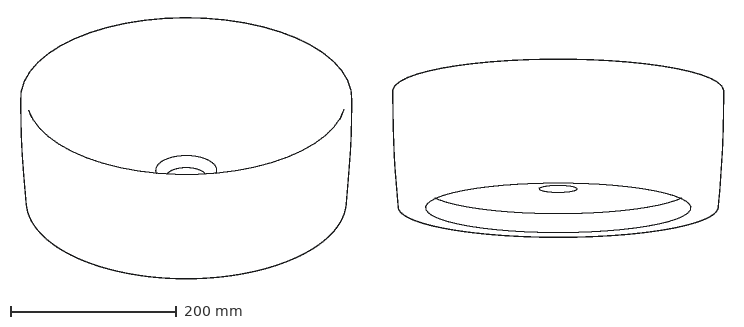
import cadquery as cq
import math

height = 145.0
outer_radius = 200.0

foot_radius = 193.0
rim_round = 2.8
foot_round = 2.0

rim_thickness = 7.5
wall_angle = math.radians(17.8)
floor_angle = math.radians(5.8)
bowl_corner_radius = 40.0

drain_ring_radius = 42.0
drain_ring_height = 44.0
funnel_radius = 36.8
funnel_lip = 1.0
throat_top_radius = 24.8
throat_top_height = 34.0
throat_radius = 22.8

recess_radius = 160.0
recess_depth = 23.0


def outer_body():
    """Solid barrel with a curved side and rounded rim and foot edges."""
    drop = height - rim_round
    inset = outer_radius - foot_radius
    side_radius = (drop**2 + inset**2) / (2 * inset)
    half_angle = math.asin(drop / side_radius) / 2
    side_middle = (
        outer_radius - side_radius * (1 - math.cos(half_angle)),
        drop - side_radius * math.sin(half_angle),
    )
    profile = (
        cq.Workplane("XZ")
        .lineTo(foot_radius, 0)
        .threePointArc(side_middle, (outer_radius, drop))
        .radiusArc((outer_radius - rim_round, height), -rim_round)
        .lineTo(0, height)
        .close()
    )
    body = profile.revolve(360, (0, 0, 0), (0, 1, 0))
    return body.faces("<Z").edges().fillet(foot_round)


def bowl_and_drain():
    """Bowl cavity, drain ring, funnel and throat as one revolved cutter."""
    rim_inner_radius = outer_radius - rim_thickness

    lip_center = (rim_inner_radius + rim_round * math.cos(wall_angle), height - rim_round)
    wall_top = (rim_inner_radius, lip_center[1] + rim_round * math.sin(wall_angle))

    wall_slope = 1 / math.tan(wall_angle)
    floor_slope = math.tan(floor_angle)
    wall_offset = wall_top[1] - wall_slope * wall_top[0]
    floor_offset = drain_ring_height - floor_slope * drain_ring_radius
    corner_x = (floor_offset - wall_offset) / (wall_slope - floor_slope)
    corner_z = floor_slope * corner_x + floor_offset

    turn = math.pi / 2 - wall_angle - floor_angle
    tangent_length = bowl_corner_radius * math.tan(turn / 2)
    wall_end = (
        corner_x + tangent_length * math.sin(wall_angle),
        corner_z + tangent_length * math.cos(wall_angle),
    )
    floor_end = (
        corner_x - tangent_length * math.cos(floor_angle),
        corner_z - tangent_length * math.sin(floor_angle),
    )

    profile = (
        cq.Workplane("XZ")
        .lineTo(throat_radius, 0)
        .lineTo(throat_radius, recess_depth)
        .lineTo(throat_top_radius, throat_top_height)
        .lineTo(funnel_radius - funnel_lip, drain_ring_height - funnel_lip)
        .lineTo(funnel_radius, drain_ring_height)
        .lineTo(drain_ring_radius, drain_ring_height)
        .lineTo(*floor_end)
        .radiusArc(wall_end, -bowl_corner_radius)
        .lineTo(*wall_top)
        .radiusArc((lip_center[0], height), rim_round)
        .lineTo(0, height)
        .close()
    )
    return profile.revolve(360, (0, 0, 0), (0, 1, 0))


def underside_recess():
    """Shallow round recess that leaves a foot ring and opens the throat."""
    return cq.Workplane("XY").circle(recess_radius).extrude(recess_depth)


result = outer_body().cut(bowl_and_drain()).cut(underside_recess())